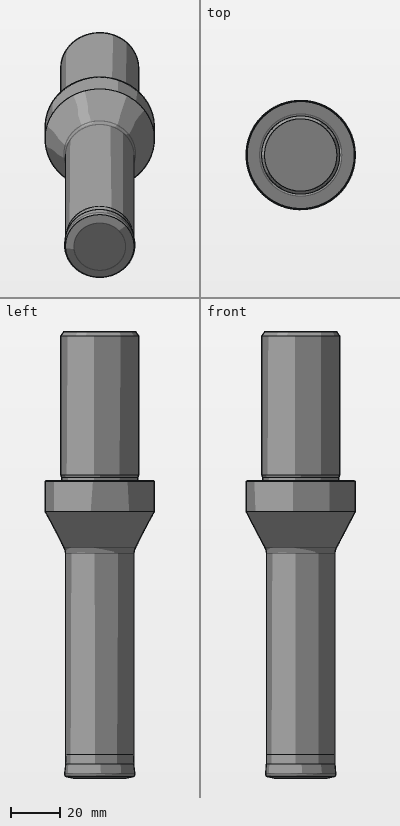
import cadquery as cq
import math


overall_length = 181.23
shank_length = 60.325
shank_radius = 31.75 / 2
shank_chamfer_radial = 1.2
shank_chamfer_height = 1.8

relief_height = 2.2
relief_taper_height = 1.1
relief_radius = shank_radius - 0.4
relief_mouth_radius = shank_radius + 0.8
relief_depth = 0.3

collar_radius = 44.45 / 2
collar_height = 12.6
collar_chamfer = 0.5
cone_height = 15.8
cone_fillet_radius = 5.0

neck_radius = 13.97

tip_radius = 28.575 / 2
tip_widest_height = 2.0
tip_exposed_height = 5.75
tip_length = 9.6
tip_corner_inset = 0.4
tip_corner_height = 0.7
tip_flat_radius = 10.5

collar_top = overall_length - shank_length
collar_bottom = collar_top - collar_height
cone_bottom = collar_bottom - cone_height
tip_taper = (tip_radius - neck_radius) / (tip_exposed_height - tip_widest_height)
tip_back_radius = neck_radius - tip_taper * (tip_length - tip_exposed_height)
cone_angle = math.atan2(collar_radius - neck_radius, cone_height)
fillet_tangent = cone_fillet_radius * math.tan(cone_angle / 2)


def revolve_about_z(profile):
    """Turn a closed XZ half-profile into a solid of revolution about the Z axis."""
    return profile.close().revolve(360, (0, 0, 0), (0, 1, 0))


def make_holder():
    """Shank, collar, cone and neck, with the tapered recess for the tip."""
    profile = (
        cq.Workplane("XZ")
        .moveTo(0, overall_length)
        .lineTo(shank_radius - shank_chamfer_radial, overall_length)
        .lineTo(shank_radius, overall_length - shank_chamfer_height)
        .lineTo(shank_radius, collar_top + relief_height)
        .lineTo(relief_radius, collar_top + relief_height - relief_taper_height)
        .lineTo(relief_radius, collar_top - relief_depth)
        .lineTo(relief_mouth_radius, collar_top)
        .lineTo(collar_radius - collar_chamfer, collar_top)
        .lineTo(collar_radius, collar_top - collar_chamfer)
        .lineTo(collar_radius, collar_bottom)
        .lineTo(
            neck_radius + fillet_tangent * math.sin(cone_angle),
            cone_bottom + fillet_tangent * math.cos(cone_angle),
        )
        .tangentArcPoint((neck_radius, cone_bottom - fillet_tangent), relative=False)
        .lineTo(neck_radius, tip_exposed_height)
        .lineTo(tip_back_radius, tip_length)
        .lineTo(0, tip_length)
    )
    return revolve_about_z(profile)


def make_tip():
    """Cutting tip that widens towards its rounded corner and ends in a shallow cone and a flat."""
    taper_end = (tip_radius, tip_widest_height)
    corner_end = (tip_radius - tip_corner_inset, tip_corner_height)
    profile = (
        cq.Workplane("XZ")
        .moveTo(0, tip_length)
        .lineTo(tip_back_radius, tip_length)
        .lineTo(*taper_end)
        .tangentArcPoint(corner_end, relative=False)
        .lineTo(tip_flat_radius, 0)
        .lineTo(0, 0)
    )
    return revolve_about_z(profile)


holder = make_holder()
tip = make_tip()

result = cq.Compound.makeCompound([holder.val(), tip.val()])